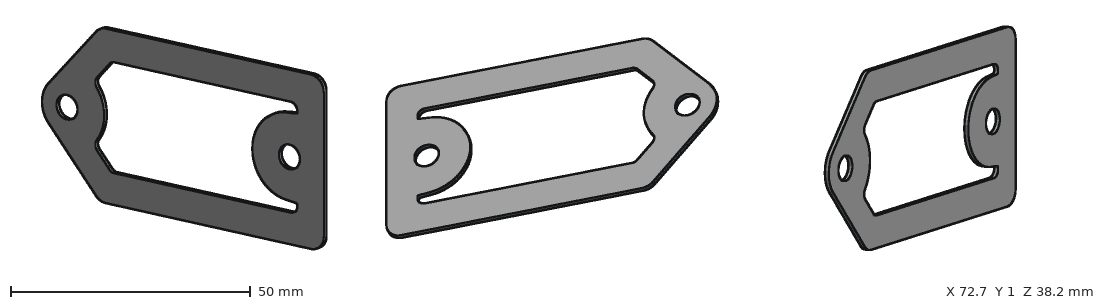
import cadquery as cq
import math

length = 72.65
height = 38.2
thickness = 1.0
nose_radius = 6.5
taper_angle = math.radians(48)
corner_radius = 3.3

hole_diameter = 5.4
hole_spacing = 57.3

window_height = 24.3
window_shoulder_x = 11.5
pad_radius = 9.6
slot_reach = 2.0
pad_flank_angle = math.radians(5)
shoulder_radius = 1.3
notch_radius = 1.75
slot_outer_radius = 1.75
slot_inner_radius = 0.5

half_height = height / 2
half_window = window_height / 2
right_x = length - nose_radius
window_end_x = hole_spacing + slot_reach


def extrude(sketch):
    return sketch.extrude(thickness / 2, both=True)


def disc(x, radius):
    return extrude(cq.Workplane("XZ").center(x, 0).circle(radius))


def round_edges(body, x, z, radius):
    """Round the mirrored pair of through-thickness edges at (x, +z) and (x, -z)."""
    for side in (1, -1):
        body = body.edges(cq.NearestToPointSelector((x, 0, side * z))).fillet(radius)
    return body


def make_plate():
    tangent_x = -nose_radius * math.sin(taper_angle)
    tangent_z = nose_radius * math.cos(taper_angle)
    shoulder_x = tangent_x + (half_height - tangent_z) / math.tan(taper_angle)
    plate = extrude(
        cq.Workplane("XZ")
        .moveTo(tangent_x, -tangent_z)
        .threePointArc((-nose_radius, 0), (tangent_x, tangent_z))
        .lineTo(shoulder_x, half_height)
        .lineTo(right_x, half_height)
        .lineTo(right_x, -half_height)
        .lineTo(shoulder_x, -half_height)
        .close()
    )
    plate = round_edges(plate, shoulder_x, half_height, corner_radius)
    return round_edges(plate, right_x, half_height, corner_radius)


def make_far_pad():
    tangent_x = hole_spacing - pad_radius * math.sin(pad_flank_angle)
    tangent_z = pad_radius * math.cos(pad_flank_angle)
    end_z = tangent_z + (window_end_x - tangent_x) * math.tan(pad_flank_angle)
    flanks = extrude(
        cq.Workplane("XZ").polyline([
            (tangent_x, -tangent_z),
            (tangent_x, tangent_z),
            (window_end_x, end_z),
            (window_end_x, -end_z),
        ]).close()
    )
    return disc(hole_spacing, pad_radius).union(flanks), end_z


def make_window():
    tip_x = window_shoulder_x - half_window / math.tan(taper_angle)
    blank = extrude(
        cq.Workplane("XZ").polyline([
            (tip_x, 0),
            (window_shoulder_x, half_window),
            (window_end_x, half_window),
            (window_end_x, -half_window),
            (window_shoulder_x, -half_window),
        ]).close()
    )
    far_pad, slot_inner_z = make_far_pad()
    window = blank.cut(disc(0, pad_radius)).cut(far_pad)

    side_distance = tip_x * math.sin(taper_angle)
    side_run = math.sqrt(pad_radius**2 - side_distance**2)
    notch_x = side_distance * math.sin(taper_angle) + side_run * math.cos(taper_angle)
    notch_z = -side_distance * math.cos(taper_angle) + side_run * math.sin(taper_angle)

    window = round_edges(window, notch_x, notch_z, notch_radius)
    window = round_edges(window, window_shoulder_x, half_window, shoulder_radius)
    window = round_edges(window, window_end_x, half_window, slot_outer_radius)
    return round_edges(window, window_end_x, slot_inner_z, slot_inner_radius)


result = make_plate().cut(make_window())
for hole_x in (0, hole_spacing):
    result = result.cut(disc(hole_x, hole_diameter / 2))